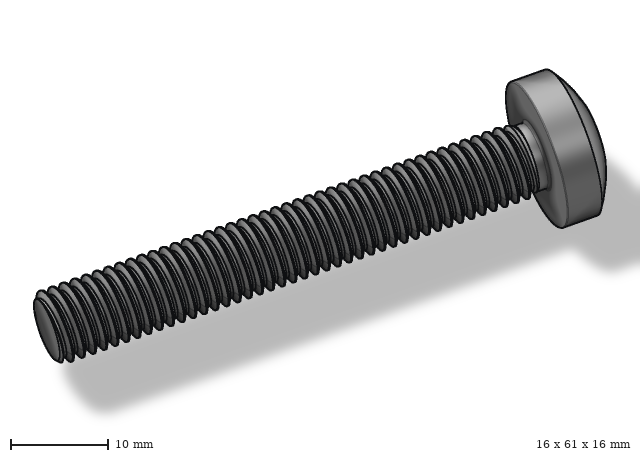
import cadquery as cq
import math


thread_diameter = 8.0
pitch = 1.25
flank_tangent = math.tan(math.radians(30))
triangle_height = pitch / (2 * flank_tangent)
crest_radius = thread_diameter / 2
root_radius = crest_radius - 5 / 8 * triangle_height
pitch_radius = crest_radius - 3 / 8 * triangle_height
crest_half_width = pitch / 16
root_half_width = crest_half_width + (crest_radius - root_radius) * flank_tangent

shank_length = 55.0
neck_length = pitch
runout_length = 1.0
tip_chamfer = 0.6
underhead_fillet = 0.3

head_radius = 8.0
head_height = 6.0
rim_height = 3.9
rim_fillet = 0.1
crown_radius = 4.2
crown_arc_radius = 13.0

sleeve_clearance = 0.2
body_turns = math.ceil(shank_length / pitch) + 1


def make_head_and_neck():
    """Revolve the domed head with its filleted neck."""
    profile = (
        cq.Workplane("XY")
        .moveTo(0, -neck_length)
        .lineTo(pitch_radius, -neck_length)
        .lineTo(pitch_radius, -underhead_fillet)
        .radiusArc((pitch_radius + underhead_fillet, 0), underhead_fillet)
        .lineTo(head_radius - rim_fillet, 0)
        .radiusArc((head_radius, rim_fillet), -rim_fillet)
        .lineTo(head_radius, rim_height)
        .radiusArc((crown_radius, head_height), -crown_arc_radius)
        .lineTo(0, head_height)
        .close()
    )
    return profile.revolve(360, (0, 0, 0), (0, 1, 0))


def make_thread_envelope():
    """Revolve the limits of the thread: run-out cone, loose sleeve and tip chamfer."""
    sleeve_radius = crest_radius + sleeve_clearance
    runout_slope = runout_length / (crest_radius - pitch_radius)
    runout_end = -neck_length - runout_slope * (sleeve_radius - pitch_radius)
    chamfer_start = -shank_length + tip_chamfer + sleeve_clearance
    profile = (
        cq.Workplane("XY")
        .moveTo(0, -neck_length)
        .lineTo(pitch_radius, -neck_length)
        .lineTo(sleeve_radius, runout_end)
        .lineTo(sleeve_radius, chamfer_start)
        .lineTo(crest_radius - tip_chamfer, -shank_length)
        .lineTo(0, -shank_length)
        .close()
    )
    return profile.revolve(360, (0, 0, 0), (0, 1, 0))


def make_thread_body():
    """Sew a right-hand thread, one turn at a time, and lay it along -Y."""
    tooth = [
        (root_radius, -root_half_width),
        (crest_radius, -crest_half_width),
        (crest_radius, crest_half_width),
        (root_radius, root_half_width),
        (root_radius, pitch - root_half_width),
    ]

    def one_turn(radius, height):
        return cq.Wire.makeHelix(pitch, pitch, radius).translate(cq.Vector(0, 0, height))

    def axis_line(height):
        return cq.Wire.makePolygon([cq.Vector(0, 0, height), cq.Vector(0, 0, height + pitch)])

    faces = []
    for turn in range(body_turns):
        base = turn * pitch
        for (radius_a, height_a), (radius_b, height_b) in zip(tooth, tooth[1:]):
            lower = one_turn(radius_a, base + height_a)
            upper = one_turn(radius_b, base + height_b)
            faces.append(cq.Face.makeRuledSurface(lower, upper))

    for base in (0, body_turns * pitch):
        start = base - root_half_width
        faces.append(cq.Face.makeRuledSurface(axis_line(start), one_turn(root_radius, start)))
        section = [cq.Vector(radius, 0, base + height) for radius, height in tooth]
        section += [cq.Vector(0, 0, start + pitch), cq.Vector(0, 0, start)]
        faces.append(cq.Face.makeFromWires(cq.Wire.makePolygon(section, close=True)))

    body = cq.Solid.makeSolid(cq.Shell.makeShell(faces))
    return cq.Workplane(obj=body).rotate((0, 0, 0), (1, 0, 0), 90)


threaded_rod = make_thread_envelope().intersect(make_thread_body())
result = make_head_and_neck().union(threaded_rod)